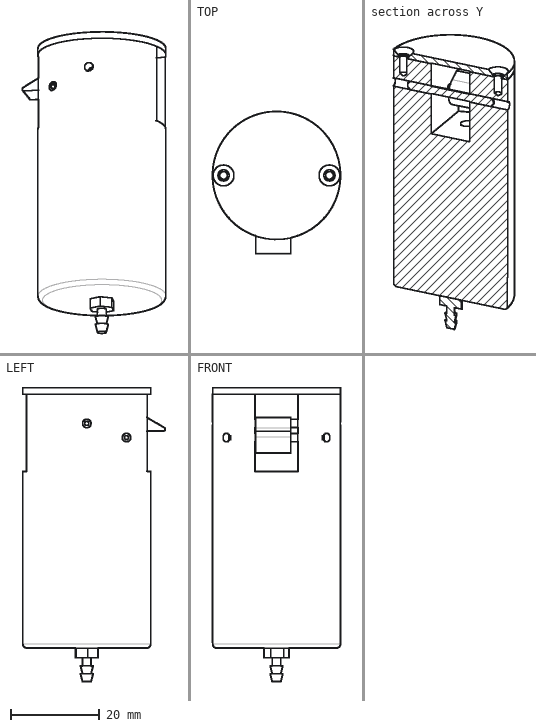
import cadquery as cq
import math


body_radius = 14.5
lid_thickness = 1.5
housing_bottom = -58.9
bottom_fillet = 1.0

slot_width = 9.65
slot_floor = -18.95
spring_hole_radius = 1.5
spring_hole_depth = 5.0
spring_hole_y = -8.45

screw_offset = 12.0
countersink_diameter = 4.7
countersink_angle = 90.0
clearance_diameter = 2.5
screw_hole_radius = 0.85
screw_hole_depth = 4.0
drill_tip_half_angle = 59.0

pin_diameter = 1.9
pin_length = 21.7
pin_chamfer = 0.5
stop_pin = (0.0, -8.1)
pivot_pin = (-9.0, -11.3)

catch_left = -4.7
catch_width = 8.0
hub_radius = 3.5
catch_tilt = 3.5
ridge_height = -6.7
top_length = 3.85
nose_slope = 30.0
nose_underside = -9.85
nose_tip_y = -17.75
nose_tip_radius = 0.43

hex_across_flats = 5.0
hex_height = 2.2
hex_turn = 4.0
stem_radius = 1.0
barb_radius = 1.45
barb_count = 2
fitting_bottom = -66.5


def on_hub(elevation):
    """Point of the hub circle whose outward normal rises by `elevation` degrees from -Y."""
    angle = math.radians(elevation)
    return (
        pivot_pin[0] - hub_radius * math.cos(angle),
        pivot_pin[1] + hub_radius * math.sin(angle),
    )


def cross_rod(length, center):
    """Rod of the pin diameter along X, centred on X = 0 at the (Y, Z) point `center`."""
    return (
        cq.Workplane("YZ", origin=(-length / 2, 0, 0))
        .center(*center)
        .circle(pin_diameter / 2)
        .extrude(length)
    )


def screw_hole(x):
    """Blind drilled hole with a conical end, going down from the top of the housing."""
    tip_depth = screw_hole_radius / math.tan(math.radians(drill_tip_half_angle))
    profile = [
        (0, 0),
        (screw_hole_radius, 0),
        (screw_hole_radius, -screw_hole_depth),
        (0, -screw_hole_depth - tip_depth),
    ]
    return (
        cq.Workplane("XZ", origin=(x, 0, -lid_thickness))
        .polyline(profile)
        .close()
        .revolve(360, (0, 0, 0), (0, 1, 0))
    )


def make_housing():
    height = -lid_thickness - housing_bottom
    housing = (
        cq.Workplane("XY", origin=(0, 0, housing_bottom))
        .circle(body_radius)
        .extrude(height)
        .faces("<Z")
        .edges()
        .fillet(bottom_fillet)
    )
    slot = (
        cq.Workplane("XY", origin=(0, 0, slot_floor))
        .rect(slot_width, 2 * body_radius)
        .extrude(-lid_thickness - slot_floor)
    )
    spring_hole = (
        cq.Workplane("XY", origin=(0, spring_hole_y, slot_floor))
        .circle(spring_hole_radius)
        .extrude(-spring_hole_depth)
    )
    housing = housing.cut(slot).cut(spring_hole)
    for center in (stop_pin, pivot_pin):
        housing = housing.cut(cross_rod(2 * body_radius, center))
    for x in (-screw_offset, screw_offset):
        housing = housing.cut(screw_hole(x))
    return housing


def make_lid():
    return (
        cq.Workplane("XY", origin=(0, 0, -lid_thickness))
        .circle(body_radius)
        .extrude(lid_thickness)
        .faces(">Z")
        .workplane(centerOption="CenterOfBoundBox")
        .pushPoints([(-screw_offset, 0), (screw_offset, 0)])
        .cskHole(clearance_diameter, countersink_diameter, countersink_angle)
    )


def make_pin(center):
    return cross_rod(pin_length, center).faces("<X or >X").edges().chamfer(pin_chamfer)


def make_catch():
    tilt = math.radians(catch_tilt)
    slope = math.radians(nose_slope)

    tip_center = (nose_tip_y + nose_tip_radius, nose_underside + nose_tip_radius)
    tip_top = (
        tip_center[0] - nose_tip_radius * math.sin(slope),
        tip_center[1] + nose_tip_radius * math.cos(slope),
    )
    ridge_y = tip_top[0] + (ridge_height - tip_top[1]) / math.tan(slope)
    ridge = (ridge_y, ridge_height)

    top_back = (ridge[0] + top_length * math.cos(tilt), ridge[1] - top_length * math.sin(tilt))
    rise = top_back[1] - pivot_pin[1]
    run = pivot_pin[0] - top_back[0]
    tangent_turn = math.acos(hub_radius / math.hypot(run, rise))
    back_elevation = math.degrees(math.atan2(rise, run) + tangent_turn)

    front_foot = on_hub(catch_tilt)
    front_top_y = front_foot[0] + (nose_underside - front_foot[1]) * math.tan(tilt)

    full_turn = 360.0
    arc_middle = (back_elevation + catch_tilt + full_turn) / 2

    profile = (
        cq.Workplane("YZ", origin=(catch_left, 0, 0))
        .moveTo(*ridge)
        .lineTo(*top_back)
        .lineTo(*on_hub(back_elevation))
        .threePointArc(on_hub(arc_middle), front_foot)
        .lineTo(front_top_y, nose_underside)
        .lineTo(tip_center[0], nose_underside)
        .threePointArc((nose_tip_y, tip_center[1]), tip_top)
        .close()
    )
    return profile.extrude(catch_width).cut(cross_rod(pin_length, pivot_pin))


def make_fitting():
    hex_bottom = housing_bottom - hex_height
    hexagon = (
        cq.Workplane("XY", origin=(0, 0, hex_bottom))
        .polygon(6, hex_across_flats / math.cos(math.pi / 6))
        .extrude(hex_height)
        .rotate((0, 0, 0), (0, 0, 1), hex_turn)
    )
    pitch = (hex_bottom - fitting_bottom) / (barb_count + 1)
    outline = [(0, hex_bottom), (stem_radius, hex_bottom)]
    for index in range(1, barb_count + 1):
        barb_top = hex_bottom - index * pitch
        outline += [(stem_radius, barb_top), (barb_radius, barb_top)]
    outline += [(stem_radius, fitting_bottom), (0, fitting_bottom)]
    tail = cq.Workplane("XZ").polyline(outline).close().revolve(360, (0, 0, 0), (0, 1, 0))
    return hexagon.union(tail)


housing = make_housing()
lid = make_lid()
catch = make_catch()
fitting = make_fitting()
pins = [make_pin(center) for center in (stop_pin, pivot_pin)]

result = cq.Compound.makeCompound(
    [
        housing.val(),
        lid.val(),
        catch.val(),
        fitting.val(),
        *[pin.val() for pin in pins],
    ]
)